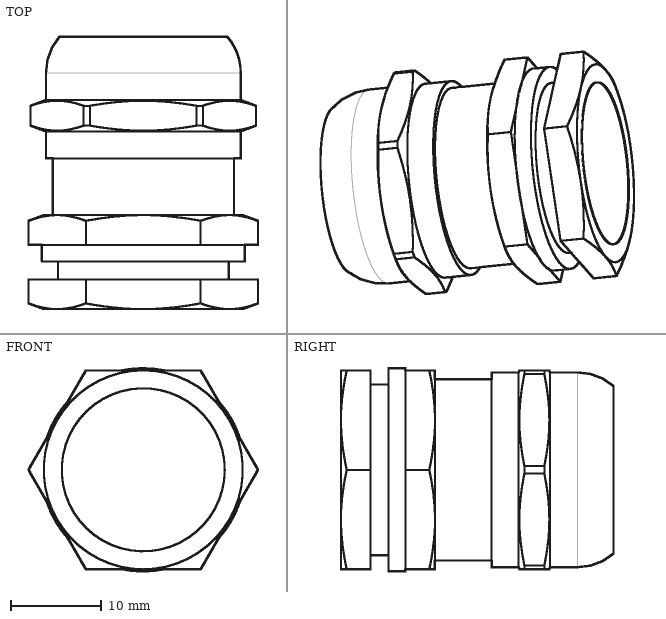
import cadquery as cq
import math

total_length = 30.13
across_flats = 22.0
flat_radius = across_flats / 2
corner_radius = flat_radius / math.cos(math.pi / 6)

lock_nut_end = 3.28
thread_end = 5.25
washer_end = 7.1
body_hex_end = 10.4
barrel_end = 16.65
cap_nut_start = 19.65
cap_nut_end = 23.1
dome_start = 26.12

thread_radius = 9.45
washer_radius = 11.25
barrel_radius = 10.03
cap_radius = 10.8
dome_tip_radius = 9.28
dome_mid_radius = 10.42
dome_mid_position = 28.2

chamfer_depth = 0.63
cap_nut_corner_radius = 12.47

recess_radius = 9.0
recess_depth = 0.1


def cylinder(start, end, radius):
    """Round section between two places along Y."""
    plane = cq.Workplane("XZ", origin=(0, start, 0))
    return plane.circle(radius).extrude(start - end)


def hexagon(start, end):
    """Hexagonal section with two corners on the X axis."""
    plane = cq.Workplane("XZ", origin=(0, start, 0))
    return plane.polygon(6, 2 * corner_radius).extrude(start - end)


def chamfered_hexagon(start, end, outer_radius, start_radius, end_radius):
    """Hexagon trimmed by a turned envelope; an end at outer_radius stays square."""
    start_chamfer = chamfer_depth if start_radius < outer_radius else 0
    end_chamfer = chamfer_depth if end_radius < outer_radius else 0
    profile = cq.Workplane("XY").moveTo(0, start).lineTo(start_radius, start)
    if start_chamfer:
        profile = profile.lineTo(outer_radius, start + start_chamfer)
    profile = profile.lineTo(outer_radius, end - end_chamfer)
    if end_chamfer:
        profile = profile.lineTo(end_radius, end)
    envelope = profile.lineTo(0, end).close().revolve(360, (0, 0, 0), (0, 1, 0))
    return hexagon(start, end).intersect(envelope)


def dome():
    """Rounded end of the cap, finishing in a flat face."""
    profile = (
        cq.Workplane("XY")
        .moveTo(0, dome_start)
        .lineTo(cap_radius, dome_start)
        .threePointArc((dome_mid_radius, dome_mid_position), (dome_tip_radius, total_length))
        .lineTo(0, total_length)
        .close()
    )
    return profile.revolve(360, (0, 0, 0), (0, 1, 0))


lock_nut = chamfered_hexagon(0, lock_nut_end, corner_radius, flat_radius, corner_radius)
body_hex = chamfered_hexagon(washer_end, body_hex_end, corner_radius, corner_radius, flat_radius)
cap_nut = chamfered_hexagon(cap_nut_start, cap_nut_end, cap_nut_corner_radius, cap_radius, cap_radius)

result = (
    lock_nut
    .union(cylinder(lock_nut_end, thread_end, thread_radius))
    .union(cylinder(thread_end, washer_end, washer_radius))
    .union(body_hex)
    .union(cylinder(body_hex_end, barrel_end, barrel_radius))
    .union(cylinder(barrel_end, dome_start, cap_radius))
    .union(cap_nut)
    .union(dome())
    .cut(cylinder(0, recess_depth, recess_radius))
)